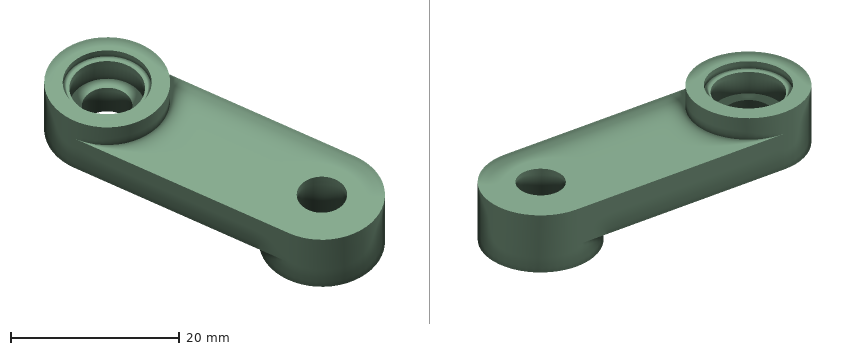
import cadquery as cq

end_diameter = 15.0
center_distance = 30.0
arm_thickness = 5.0
boss_height = 3.0
bore_diameter = 6.0
seat_diameter = 9.0
seat_depth = 4.0
recess_diameter = 10.6
recess_depth = 1.0

boss_top = arm_thickness + boss_height
boss_bottom = -boss_height


def cylinder(x, diameter, z_low, z_high):
    """Vertical cylinder on the arm's centre line."""
    return (
        cq.Workplane("XY", origin=(x, 0, z_low))
        .circle(diameter / 2)
        .extrude(z_high - z_low)
    )


def make_arm():
    """Flat bar between the two bore axes."""
    return (
        cq.Workplane("XY", origin=(center_distance / 2, 0, 0))
        .rect(center_distance, end_diameter)
        .extrude(arm_thickness)
    )


def make_body():
    """Arm with one end cylinder raised above it and the other dropped below it."""
    raised_end = cylinder(0, end_diameter, 0, boss_top)
    dropped_end = cylinder(center_distance, end_diameter, boss_bottom, arm_thickness)
    return make_arm().union(raised_end).union(dropped_end)


def cut_bores(body):
    """Through bore at each end."""
    for x in (0, center_distance):
        body = body.cut(cylinder(x, bore_diameter, boss_bottom, boss_top))
    return body


def cut_stepped_seat(body):
    """Seat and shallow recess, both open at the top of the raised boss."""
    for diameter, depth in ((seat_diameter, seat_depth), (recess_diameter, recess_depth)):
        body = body.cut(cylinder(0, diameter, boss_top - depth, boss_top))
    return body


result = cut_stepped_seat(cut_bores(make_body()))